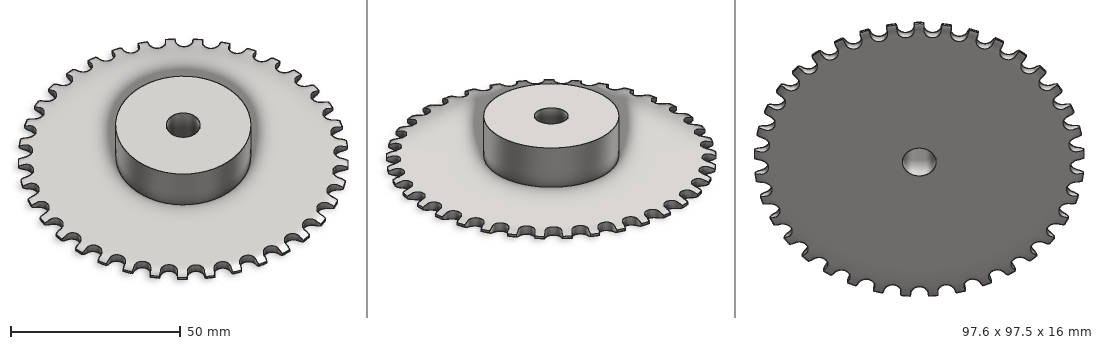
import cadquery as cq
import math

tooth_count = 37
chain_pitch = 8.0
roller_radius = 2.5
tip_radius = 48.8
face_radius = 44.9
plate_thickness = 2.8
hub_diameter = 40.0
total_height = 16.0
bore_diameter = 10.0
flank_radius = 4.9
cut_clearance = 1.0

tooth_angle = 360 / tooth_count
pitch_radius = chain_pitch / (2 * math.sin(math.pi / tooth_count))
relief_radius = chain_pitch
relief_length = tip_radius - face_radius


def relief_depth(distance):
    """Depth of the side relief at a radial distance beyond the flat face."""
    return relief_radius - math.sqrt(relief_radius**2 - distance**2)


def make_blank():
    """Plate whose rim thins on both sides along arcs tangent to the faces."""
    middle_radius = face_radius + relief_length / 2
    middle_drop = relief_depth(relief_length / 2)
    tip_drop = relief_depth(relief_length)
    return (
        cq.Workplane("XZ")
        .lineTo(face_radius, 0)
        .threePointArc((middle_radius, middle_drop), (tip_radius, tip_drop))
        .lineTo(tip_radius, plate_thickness - tip_drop)
        .threePointArc(
            (middle_radius, plate_thickness - middle_drop),
            (face_radius, plate_thickness),
        )
        .lineTo(0, plate_thickness)
        .close()
        .revolve(360, (0, 0, 0), (0, 1, 0))
    )


def make_gap_cutter():
    """Tooth gap on the +Y axis: round roller seat with flaring convex flanks."""
    outer_rise = tip_radius + cut_clearance - pitch_radius

    def flank_point(rise):
        flare = flank_radius - math.sqrt(flank_radius**2 - rise**2)
        return roller_radius + flare, pitch_radius + rise

    middle_x, middle_y = flank_point(outer_rise / 2)
    outer_x, outer_y = flank_point(outer_rise)
    return (
        cq.Workplane("XY")
        .moveTo(-outer_x, outer_y)
        .threePointArc((-middle_x, middle_y), (-roller_radius, pitch_radius))
        .threePointArc((0, pitch_radius - roller_radius), (roller_radius, pitch_radius))
        .threePointArc((middle_x, middle_y), (outer_x, outer_y))
        .close()
        .extrude(plate_thickness)
    )


sprocket = make_blank()
gap_cutter = make_gap_cutter()
for index in range(tooth_count):
    gap_angle = (index + 0.5) * tooth_angle
    sprocket = sprocket.cut(gap_cutter.rotate((0, 0, 0), (0, 0, 1), gap_angle))

hub = cq.Workplane("XY").circle(hub_diameter / 2).extrude(total_height)
bore = cq.Workplane("XY").circle(bore_diameter / 2).extrude(total_height)
result = sprocket.union(hub).cut(bore)